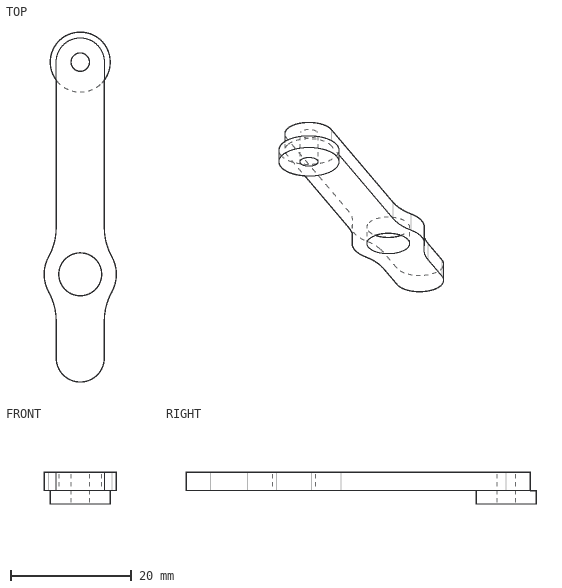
import cadquery as cq
import math

total_length = 58.0
arm_width = 8.0
arm_thickness = 3.1
hub_diameter = 12.0
hub_bore = 7.1
blend_radius = 10.0
roller_diameter = 10.0
roller_thickness = 2.2
pin_bore = 3.0
pin_distance = 35.15

half_width = arm_width / 2
hub_radius = hub_diameter / 2
roller_end = pin_distance + roller_diameter / 2
tail_distance = total_length - roller_end - half_width

blend_x = half_width + blend_radius
blend_y = math.sqrt((hub_radius + blend_radius) ** 2 - blend_x ** 2)
hub_share = hub_radius / (hub_radius + blend_radius)
tangent_x = blend_x * hub_share
tangent_y = blend_y * hub_share
blend_angle = math.atan2(blend_y, blend_x)
mid_x = blend_x - blend_radius * math.cos(blend_angle / 2)
mid_y = blend_y - blend_radius * math.sin(blend_angle / 2)


def make_arm():
    """Round-ended arm that swells smoothly into the hub."""
    return (
        cq.Workplane("XY")
        .moveTo(half_width, pin_distance)
        .threePointArc((0, pin_distance + half_width), (-half_width, pin_distance))
        .lineTo(-half_width, blend_y)
        .threePointArc((-mid_x, mid_y), (-tangent_x, tangent_y))
        .threePointArc((-hub_radius, 0), (-tangent_x, -tangent_y))
        .threePointArc((-mid_x, -mid_y), (-half_width, -blend_y))
        .lineTo(-half_width, -tail_distance)
        .threePointArc((0, -tail_distance - half_width), (half_width, -tail_distance))
        .lineTo(half_width, -blend_y)
        .threePointArc((mid_x, -mid_y), (tangent_x, -tangent_y))
        .threePointArc((hub_radius, 0), (tangent_x, tangent_y))
        .threePointArc((mid_x, mid_y), (half_width, blend_y))
        .close()
        .extrude(arm_thickness)
    )


def make_cylinder(diameter, center_y, bottom, height):
    """Upright cylinder on the arm's centre line."""
    return (
        cq.Workplane("XY", origin=(0, center_y, bottom))
        .circle(diameter / 2)
        .extrude(height)
    )


roller = make_cylinder(roller_diameter, pin_distance, -roller_thickness, roller_thickness)
body = make_arm().union(roller)

total_height = arm_thickness + roller_thickness
for bore, center_y in ((hub_bore, 0), (pin_bore, pin_distance)):
    body = body.cut(make_cylinder(bore, center_y, -roller_thickness, total_height))

result = body